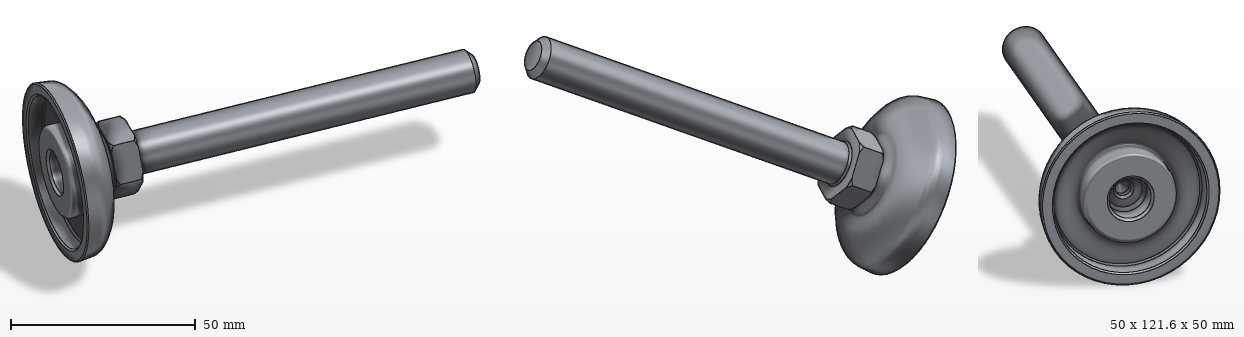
import cadquery as cq
import math

overall_length = 121.6
axis_start = (0, 0, 0)
axis_end = (0, 1, 0)

foot_radius = 50.0 / 2
foot_edge_chamfer = 0.4
wall_top_radius = 24.6
wall_top_height = 4.1
shoulder_radius = 23.2
shoulder_height = 6.9
dome_mid_radius = 18.1
dome_mid_height = 10.3
neck_base_radius = 11.9
neck_base_height = 11.4
neck_cone_radius = 11.2
neck_cone_height = 11.8
neck_top_radius = 8.8
neck_top_height = 14.0

recess_mouth_radius = 21.9
recess_mouth_chamfer = 0.5
recess_wall_radius = 20.9
recess_wall_height = 4.1
ceiling_outer_radius = 20.4
ceiling_outer_height = 4.7
ceiling_inner_radius = 13.7
ceiling_inner_height = 6.5
boss_radius = 13.0
boss_edge_fillet = 1.2
boss_root_fillet = ceiling_inner_radius - boss_radius

bore_mouth_radius = 6.6
bore_radius = 5.8
bore_mouth_chamfer = bore_mouth_radius - bore_radius
bore_depth = 5.8
stem_radius = 5.0
stem_end_height = 7.3

rod_radius = 12.0 / 2
rod_tip_chamfer = 1.8
hex_across_flats = 19.0
hex_height = 7.8
hex_top_height = neck_top_height + hex_height
hex_corner_radius = hex_across_flats / math.sqrt(3)
hex_corner_chamfer = 0.9
collar_radius = 6.5
collar_height = 0.7

dish_depth = 0.6
centre_rim_radius = 2.9
centre_hole_radius = 2.2
centre_hole_start = stem_end_height + dish_depth + centre_rim_radius - centre_hole_radius
centre_hole_depth = 1.8
centre_hole_end = centre_hole_start + centre_hole_depth
centre_hole_tip = centre_hole_end + centre_hole_radius


def revolve_about_y(profile):
    """Turn a closed (radius, height) outline once around the Y axis."""
    return profile.close().revolve(360, axis_start, axis_end)


def make_foot():
    """Domed foot with a hollow underside and a central boss, bored for the stem."""
    arc_corner = math.sqrt(0.5)
    edge_arc_mid = (
        boss_radius - boss_edge_fillet * (1 - arc_corner),
        boss_edge_fillet * (1 - arc_corner),
    )
    root_arc_mid = (
        ceiling_inner_radius - boss_root_fillet * arc_corner,
        ceiling_inner_height - boss_root_fillet * (1 - arc_corner),
    )
    profile = (
        cq.Workplane("XY")
        .moveTo(bore_mouth_radius, 0)
        .lineTo(bore_radius, bore_mouth_chamfer)
        .lineTo(bore_radius, bore_depth)
        .lineTo(stem_radius, stem_end_height)
        .lineTo(stem_radius, neck_top_height)
        .lineTo(neck_top_radius, neck_top_height)
        .lineTo(neck_cone_radius, neck_cone_height)
        .tangentArcPoint((neck_base_radius, neck_base_height), relative=False)
        .threePointArc((dome_mid_radius, dome_mid_height), (shoulder_radius, shoulder_height))
        .tangentArcPoint((wall_top_radius, wall_top_height), relative=False)
        .lineTo(foot_radius, foot_edge_chamfer)
        .lineTo(foot_radius - foot_edge_chamfer, 0)
        .lineTo(recess_mouth_radius, 0)
        .lineTo(recess_mouth_radius - recess_mouth_chamfer, recess_mouth_chamfer)
        .lineTo(recess_wall_radius, recess_wall_height)
        .lineTo(ceiling_outer_radius, ceiling_outer_height)
        .lineTo(ceiling_inner_radius, ceiling_inner_height)
        .threePointArc(root_arc_mid, (boss_radius, ceiling_inner_height - boss_root_fillet))
        .lineTo(boss_radius, boss_edge_fillet)
        .threePointArc(edge_arc_mid, (boss_radius - boss_edge_fillet, 0))
    )
    return revolve_about_y(profile)


def make_hexagon():
    """Wrench hexagon with corners on the X axis, chamfered at both ends."""
    prism = (
        cq.Workplane("XZ", origin=(0, neck_top_height, 0))
        .polygon(6, 2 * hex_corner_radius)
        .extrude(-hex_height)
    )
    envelope = (
        cq.Workplane("XZ", origin=(0, neck_top_height, 0))
        .circle(hex_corner_radius)
        .extrude(-hex_height)
        .faces("<Y or >Y")
        .chamfer(hex_corner_chamfer)
    )
    return prism.intersect(envelope)


def make_spindle():
    """Rod, collar, hexagon and centre-drilled stem as one body."""
    turned = revolve_about_y(
        cq.Workplane("XY")
        .moveTo(0, centre_hole_tip)
        .lineTo(centre_hole_radius, centre_hole_end)
        .lineTo(centre_hole_radius, centre_hole_start)
        .lineTo(centre_rim_radius, stem_end_height + dish_depth)
        .lineTo(stem_radius, stem_end_height)
        .lineTo(stem_radius, hex_top_height)
        .lineTo(collar_radius, hex_top_height)
        .lineTo(rod_radius, hex_top_height + collar_height)
        .lineTo(rod_radius, overall_length - rod_tip_chamfer)
        .lineTo(rod_radius - rod_tip_chamfer, overall_length)
        .lineTo(0, overall_length)
    )
    return turned.union(make_hexagon())


foot = make_foot()
spindle = make_spindle()

result = cq.Compound.makeCompound([foot.val(), *spindle.solids().vals()])